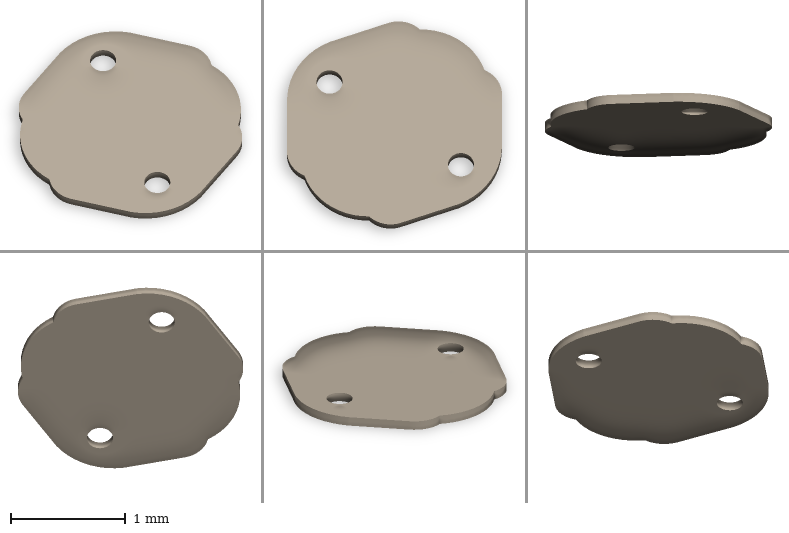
import cadquery as cq

length = 2.01
width = 1.97
thickness = 0.08

side_end = (0.917, 0.32)
corner_start = (0.607, 0.764)
corner_mid = (0.525, 0.84)
notch = (0.344, 0.872)

hole_diameter = 0.227
hole_spacing = 1.399
hole_offset = -0.008


def mirrored(point, x_sign, y_sign):
    """Place a quarter point in the quadrant with the given signs."""
    return (x_sign * point[0], y_sign * point[1])


def half_outline(sketch, side):
    """Draw one end arc, two corners and a side arc, ending at the opposite notch.

    The side is +1 to run from the upper left notch down the +X side,
    or -1 to run from the lower right notch up the -X side.
    """
    return (
        sketch
        .threePointArc((0, side * width / 2), mirrored(notch, side, side))
        .threePointArc(mirrored(corner_mid, side, side), mirrored(corner_start, side, side))
        .lineTo(*mirrored(side_end, side, side))
        .threePointArc((side * length / 2, 0), mirrored(side_end, side, -side))
        .lineTo(*mirrored(corner_start, side, -side))
        .threePointArc(mirrored(corner_mid, side, -side), mirrored(notch, side, -side))
    )


outline = cq.Workplane("XY").moveTo(*mirrored(notch, -1, 1))
outline = half_outline(outline, 1)
outline = half_outline(outline, -1)
plate = outline.close().extrude(thickness)

hole_centers = [(hole_offset + sign * hole_spacing / 2, 0) for sign in (-1, 1)]
holes = cq.Workplane("XY").pushPoints(hole_centers).circle(hole_diameter / 2).extrude(thickness)

result = plate.cut(holes)